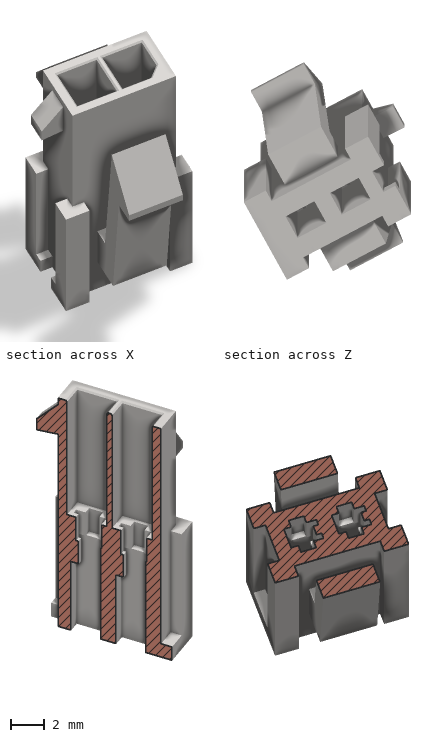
import cadquery as cq


overall_width = 12.35
overall_depth = 9.0
height = 16.9

body_width = 3.9
body_depth = 6.86
leg_height = 8.48
leg_half_width = 2.69
leg_inner_x = 1.27
leg_inner_y = 2.67
leg_back_y = 4.15
leg_front_y = -4.22
foot_height = 1.01
foot_gap = 1.42

arm_depth = 3.57
arm_bottom_z = 2.48
arm_notch_z = 5.3
arm_tip_z = 14.47
hook_reach = overall_width / 2
hook_bottom_z = 10.82
hook_edge_height = 0.5
arm_outer_bottom_x = 4.04
arm_outer_top_x = 4.82
arm_inner_bottom_x = 2.97
arm_inner_top_x = 3.87

catch_width = 1.44
catch_front_y = leg_back_y - overall_depth
catch_top_z = 16.4
catch_edge_top_z = 14.87
catch_edge_bottom_z = 14.05
catch_root_bottom_z = 14.2

pitch = 2.99
cavity_width = 2.89
cavity_depth = 2.82
lip_chamfer = 0.1
lip_angle = 45
key_corner = 0.78
cavity_floor_z = leg_height
bore_top_z = 6.76
opening_half_width = 0.66
opening_back_y = 0.96
opening_front_y = -1.05
bore_half_width = 0.75
bore_back_y = 0.9
side_slot_half_width = 1.13
side_slot_back_y = 0.5
side_slot_front_y = -0.42
tab_width = 0.65
tab_end_y = -0.73
tab_tip_y = -0.55
tab_tip_height = 1.69


def box(x0, x1, y0, y1, z0, z1):
    """Box between two opposite corners."""
    return cq.Workplane("XY").box(x1 - x0, y1 - y0, z1 - z0, centered=False).translate((x0, y0, z0))


def centred_box(width, y0, y1, z0, z1):
    """Box that is symmetric about X = 0."""
    return box(-width / 2, width / 2, y0, y1, z0, z1)


def mirrored_pair(solid):
    """A solid together with its mirror image across X = 0."""
    return solid.union(solid.mirror("YZ"))


def make_body():
    """Rectangular body with four corner legs; feet reach inward from the bottom of the legs."""
    half_depth = body_depth / 2
    core = centred_box(body_width, -half_depth, half_depth, 0, height)
    back_leg = box(leg_inner_x, leg_half_width, leg_inner_y, leg_back_y, 0, leg_height)
    front_leg = box(leg_inner_x, leg_half_width, leg_front_y, -leg_inner_y, 0, leg_height)
    front_foot = box(foot_gap / 2, leg_inner_x, leg_front_y, -half_depth, 0, foot_height)
    back_foot = centred_box(2 * leg_inner_x, half_depth, leg_back_y, 0, foot_height)
    legs = mirrored_pair(back_leg.union(front_leg).union(front_foot))
    return core.union(legs).union(back_foot)


def make_arms():
    """Leaning latch arm with an outward hook, on both sides of the body."""
    outline = [
        (body_width / 2, arm_bottom_z),
        (arm_outer_bottom_x, arm_bottom_z),
        (arm_outer_top_x, hook_bottom_z),
        (hook_reach, hook_bottom_z),
        (hook_reach, hook_bottom_z + hook_edge_height),
        (arm_inner_top_x, arm_tip_z),
        (arm_inner_bottom_x, arm_notch_z),
        (body_width / 2, arm_notch_z),
    ]
    arm = cq.Workplane("XZ").polyline(outline).close().extrude(arm_depth / 2, both=True)
    return mirrored_pair(arm)


def make_catch():
    """Ramped catch near the top of the -Y face."""
    outline = [
        (-body_depth / 2, catch_root_bottom_z),
        (catch_front_y, catch_edge_bottom_z),
        (catch_front_y, catch_edge_top_z),
        (-body_depth / 2, catch_top_z),
    ]
    return cq.Workplane("YZ").polyline(outline).close().extrude(catch_width / 2, both=True)


def make_mating_cavity(keyed):
    """Space of one cavity above its floor, flared at the mouth; a keyed one has its +X +Y corner cut off."""
    x = cavity_width / 2
    y = cavity_depth / 2
    outline = [(-x, y), (-x, -y), (x, -y)]
    if keyed:
        outline += [(x, y - key_corner), (x - key_corner, y)]
    else:
        outline += [(x, y)]
    mouth = cq.Workplane("XY", origin=(0, 0, height)).polyline(outline).close()
    flare = mouth.extrude(-lip_chamfer, taper=lip_angle)
    straight_depth = height - lip_chamfer - cavity_floor_z
    straight = flare.faces("<Z").wires().toPending().workplane().extrude(straight_depth, combine=False)
    return flare.union(straight)


def make_contact_passage():
    """Space of one cavity below its floor: opening, side slots and bore, less the tab that stays solid."""
    opening = centred_box(2 * opening_half_width, opening_front_y, opening_back_y, bore_top_z, cavity_floor_z)
    side_slots = centred_box(
        2 * side_slot_half_width, side_slot_front_y, side_slot_back_y, bore_top_z, cavity_floor_z
    )
    bore = centred_box(2 * bore_half_width, opening_front_y, bore_back_y, 0, bore_top_z)
    tab = centred_box(tab_width, opening_front_y, tab_end_y, bore_top_z, cavity_floor_z)
    tab_tip = centred_box(tab_width, opening_front_y, tab_tip_y, bore_top_z - tab_tip_height, bore_top_z)
    return opening.union(side_slots).union(bore).cut(tab).cut(tab_tip)


result = make_body().union(make_arms()).union(make_catch())

for cavity_y, keyed in ((pitch / 2, True), (-pitch / 2, False)):
    cavity = make_mating_cavity(keyed).union(make_contact_passage())
    result = result.cut(cavity.translate((0, cavity_y, 0)))